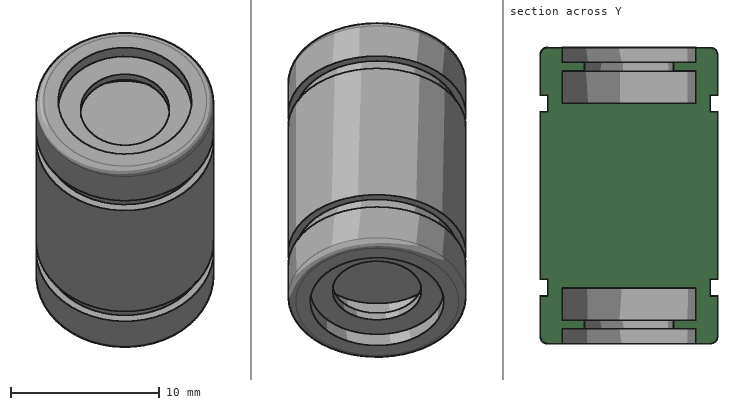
import cadquery as cq

length = 20.0
outer_radius = 6.0
edge_radius = 0.5

groove_offset = 3.25
groove_width = 1.1
groove_radius = 5.5

recess_radius = 4.5
recess_depth = 1.0
lip_radius = 3.0
lip_thickness = 0.6
floor_depth = 3.75


def end_disc(radius, start_depth, end_depth):
    """Cylinder between two depths below the top face."""
    height = end_depth - start_depth
    return cq.Workplane("XY").workplane(offset=length / 2 - end_depth).circle(radius).extrude(height)


def groove_ring():
    """Material removed by the upper ring groove."""
    groove_end = groove_offset + groove_width
    band = end_disc(outer_radius, groove_offset, groove_end)
    return band.cut(end_disc(groove_radius, groove_offset, groove_end))


def end_opening():
    """Recess, lip bore and the wider blind cavity behind the lip."""
    lip_end = recess_depth + lip_thickness
    recess = end_disc(recess_radius, 0, recess_depth)
    lip_bore = end_disc(lip_radius, recess_depth, lip_end)
    cavity = end_disc(recess_radius, lip_end, floor_depth)
    return recess.union(lip_bore).union(cavity)


body = end_disc(outer_radius, 0, length).edges().fillet(edge_radius)

for cutter in (groove_ring(), end_opening()):
    body = body.cut(cutter).cut(cutter.mirror("XY"))

result = body